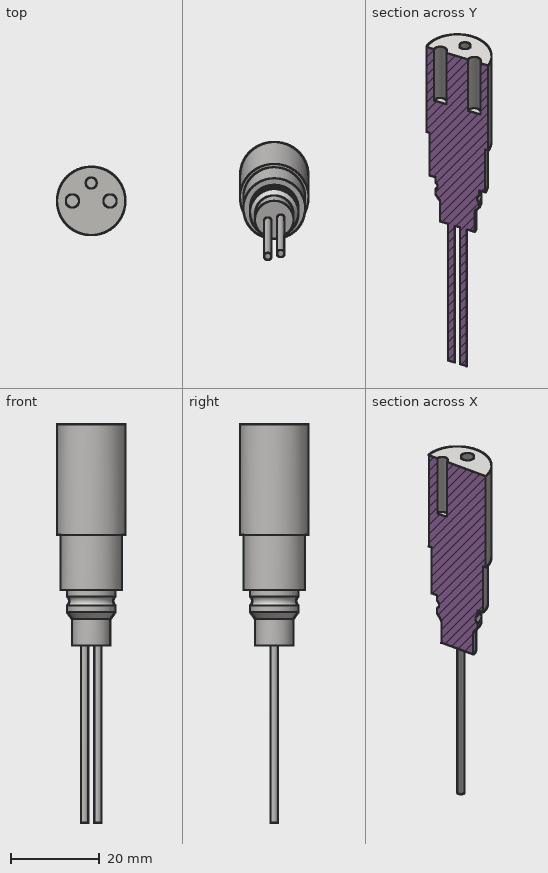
import cadquery as cq

wire_length = 40.0
wire_diameter = 1.7
wire_pitch = 3.0

tail_diameter = 8.7
tail_length = 6.0
collar_diameter = 11.0
taper_height = 1.6
lower_collar_height = 1.4
groove_width = 2.1
groove_depth = 0.5
upper_collar_height = 1.4
sleeve_diameter = 14.0
sleeve_length = 12.5
head_diameter = 15.5
head_length = 25.0

socket_depth = 15.0
side_socket_diameter = 3.0
side_socket_offset = 4.25
rear_socket_diameter = 2.5
rear_socket_offset = 4.05

tail_bottom = wire_length
taper_bottom = tail_bottom + tail_length
taper_top = taper_bottom + taper_height
groove_bottom = taper_top + lower_collar_height
groove_top = groove_bottom + groove_width
sleeve_bottom = groove_top + upper_collar_height
head_bottom = sleeve_bottom + sleeve_length
body_top = head_bottom + head_length


def make_body():
    """Stepped round body with a concave groove between its two collars."""
    tail_radius = tail_diameter / 2
    collar_radius = collar_diameter / 2
    sleeve_radius = sleeve_diameter / 2
    head_radius = head_diameter / 2
    groove_middle = (groove_bottom + groove_top) / 2
    return (
        cq.Workplane("XZ")
        .moveTo(0, tail_bottom)
        .lineTo(tail_radius, tail_bottom)
        .lineTo(tail_radius, taper_bottom)
        .lineTo(collar_radius, taper_top)
        .lineTo(collar_radius, groove_bottom)
        .threePointArc((collar_radius - groove_depth, groove_middle), (collar_radius, groove_top))
        .lineTo(collar_radius, sleeve_bottom)
        .lineTo(sleeve_radius, sleeve_bottom)
        .lineTo(sleeve_radius, head_bottom)
        .lineTo(head_radius, head_bottom)
        .lineTo(head_radius, body_top)
        .lineTo(0, body_top)
        .close()
        .revolve(360, (0, 0, 0), (0, 1, 0))
    )


def make_wires():
    """Two parallel wires, side by side along X, ending at the tail."""
    wire_offset = wire_pitch / 2
    return (
        cq.Workplane("XY")
        .pushPoints([(-wire_offset, 0), (wire_offset, 0)])
        .circle(wire_diameter / 2)
        .extrude(wire_length)
    )


def make_sockets(centres, diameter):
    """Blind round sockets sunk from the top face."""
    return (
        cq.Workplane("XY")
        .workplane(offset=body_top - socket_depth)
        .pushPoints(centres)
        .circle(diameter / 2)
        .extrude(socket_depth)
    )


side_sockets = make_sockets([(-side_socket_offset, 0), (side_socket_offset, 0)], side_socket_diameter)
rear_socket = make_sockets([(0, rear_socket_offset)], rear_socket_diameter)

result = make_body().union(make_wires()).cut(side_sockets).cut(rear_socket)